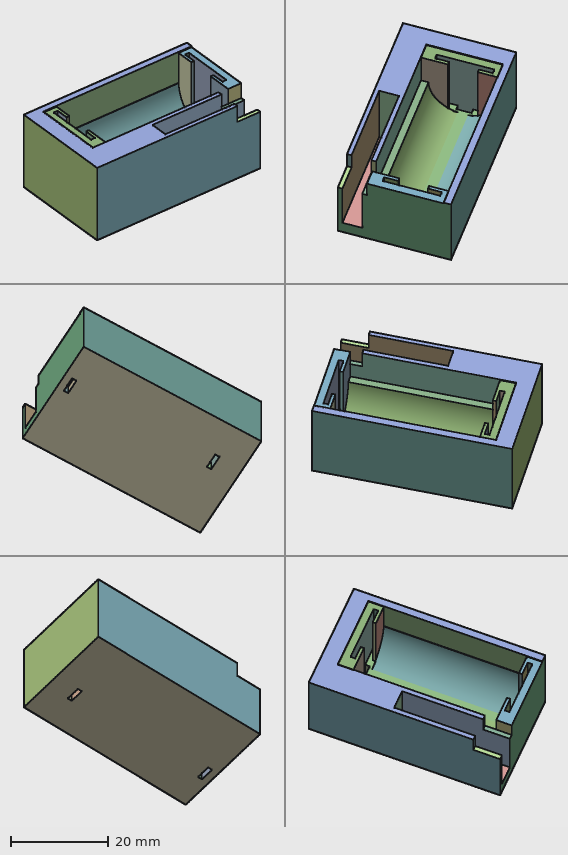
import cadquery as cq

LENGTH = 42.6
WIDTH = 24.6
HEIGHT = 18.1

FRONT_WALL = 3.88
LEFT_WALL = 1.6
BAY_RIGHT = 18.25
FLOOR_TOP = 3.02
END_BLOCK_LENGTH = 3.45
END_BLOCK_TOP = 17.85
BAY_FRONT = FRONT_WALL + END_BLOCK_LENGTH
BAY_BACK = LENGTH - END_BLOCK_LENGTH

CELL_RADIUS = 7.45
CELL_X = 9.15
CELL_Z = 10.4

LIP_THICKNESS = 0.72
CONTACT_SLOT_WIDTH = 12.52
CONTACT_SLOT_LENGTH = 1.02
LIP_GAP_WIDTH = 6.48
WIRE_HOLE_WIDTH = 3.32

CHANNEL_WALL = 1.02
CHANNEL_LENGTH = 24.0
NOTCH_LENGTH = 5.95
NOTCH_DEPTH = 3.95


def box(x_range, y_range, z_range):
    """Axis-aligned box between the given pairs of limits."""
    x0, x1 = x_range
    y0, y1 = y_range
    z0, z1 = z_range
    return cq.Workplane("XY").box(x1 - x0, y1 - y0, z1 - z0, centered=False).translate((x0, y0, z0))


def centred_on_cell(width):
    """X limits of a feature of this width centred on the cell axis."""
    return (CELL_X - width / 2, CELL_X + width / 2)


def cell_bay():
    """Space for the cell: open above the axis, half-round below, flat at the floor."""
    bay_y = (BAY_FRONT, BAY_BACK)
    upper = box((LEFT_WALL, BAY_RIGHT), bay_y, (CELL_Z, HEIGHT))
    cell = (
        cq.Workplane("XZ", origin=(CELL_X, BAY_FRONT, CELL_Z))
        .circle(CELL_RADIUS)
        .extrude(BAY_FRONT - BAY_BACK)
    )
    above_floor = box((LEFT_WALL, BAY_RIGHT), bay_y, (FLOOR_TOP, HEIGHT))
    return upper.union(cell.intersect(above_floor))


def contact_pocket(bay_end, outward):
    """Plate slot, gap in its lip and wire hole; outward is the Y direction away from the bay."""
    slot_near = bay_end + outward * LIP_THICKNESS
    slot_far = slot_near + outward * CONTACT_SLOT_LENGTH
    slot_y = sorted((slot_near, slot_far))
    gap_y = sorted((bay_end, slot_far))
    pocket_z = (FLOOR_TOP, HEIGHT)
    slot = box(centred_on_cell(CONTACT_SLOT_WIDTH), slot_y, pocket_z)
    lip_gap = box(centred_on_cell(LIP_GAP_WIDTH), gap_y, pocket_z)
    wire_hole = box(centred_on_cell(WIRE_HOLE_WIDTH), slot_y, (0, HEIGHT))
    return slot.union(lip_gap).union(wire_hole)


def end_block_relief(y_range):
    """Thin layer that sets an end block slightly below the outer walls."""
    return box((LEFT_WALL, BAY_RIGHT), y_range, (END_BLOCK_TOP, HEIGHT))


def side_channel():
    """Channel beside the bay, with both of its walls lowered at the back."""
    channel_x = (BAY_RIGHT + CHANNEL_WALL, WIDTH - CHANNEL_WALL)
    channel = box(channel_x, (LENGTH - CHANNEL_LENGTH, LENGTH), (FLOOR_TOP, HEIGHT))
    notch = box((BAY_RIGHT, WIDTH), (LENGTH - NOTCH_LENGTH, LENGTH), (HEIGHT - NOTCH_DEPTH, HEIGHT))
    return channel.union(notch)


result = (
    box((0, WIDTH), (0, LENGTH), (0, HEIGHT))
    .cut(cell_bay())
    .cut(end_block_relief((FRONT_WALL, BAY_FRONT)))
    .cut(end_block_relief((BAY_BACK, LENGTH)))
    .cut(contact_pocket(BAY_FRONT, -1))
    .cut(contact_pocket(BAY_BACK, 1))
    .cut(side_channel())
)